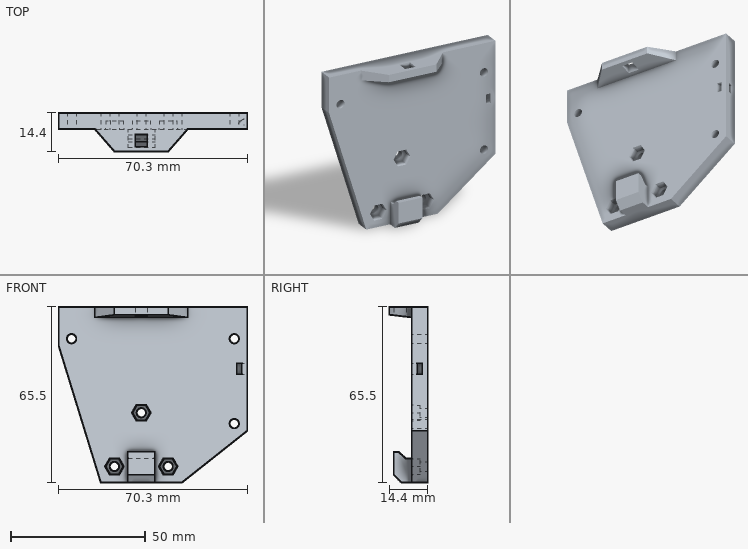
import cadquery as cq
import math


plate_width = 70.26
plate_height = 65.5
plate_thickness = 6.0
left_x = -30.8
right_x = left_x + plate_width
bottom_half_width = 15.1
left_corner_z = 51.0
right_corner_z = 19.3

hole_diameter = 3.4
corner_hole_inset = 4.85
upper_hole_z = 53.6
lower_hole_z = 22.0

nut_spacing = 20.0
lower_nut_z = 6.05
nut_sides = 6
nut_across_flats = 5.7
nut_mouth_across_flats = 6.1
nut_depth = 3.0
nut_lead_in_depth = 1.0

lug_reach = 8.4
lug_root_width = 34.7
lug_tip_width = 20.0
lug_root_height = 4.0
lug_tip_height = 3.0

window_width = 4.4
window_depth = 4.6
window_offset = 2.0

hook_width = 10.0
hook_reach = 6.7
hook_height = 11.45
hook_shelf_reach = 2.2
hook_lip_thickness = 1.9
hook_shelf_z = 9.1
hook_chamfer = 3.0

tie_inner_radius = 2.0
tie_outer_radius = 4.0
tie_height = 4.0
tie_center_z = 42.4


def make_plate():
    outline = [
        (-bottom_half_width, 0),
        (bottom_half_width, 0),
        (right_x, right_corner_z),
        (right_x, plate_height),
        (left_x, plate_height),
        (left_x, left_corner_z),
    ]
    return cq.Workplane("XZ").polyline(outline).close().extrude(-plate_thickness)


def make_lug():
    """Trapezoid in plan, trimmed by a sloping underside."""
    plan = [
        (-lug_root_width / 2, 0),
        (-lug_tip_width / 2, -lug_reach),
        (lug_tip_width / 2, -lug_reach),
        (lug_root_width / 2, 0),
    ]
    side = [
        (0, plate_height),
        (-lug_reach, plate_height),
        (-lug_reach, plate_height - lug_tip_height),
        (0, plate_height - lug_root_height),
    ]
    block = (
        cq.Workplane("XY", origin=(0, 0, plate_height))
        .polyline(plan).close()
        .extrude(-lug_root_height)
    )
    wedge = cq.Workplane("YZ").polyline(side).close().extrude(lug_root_width / 2, both=True)
    return block.intersect(wedge)


def make_lug_window():
    center_y = -window_offset - window_depth / 2
    return (
        cq.Workplane("XY", origin=(0, center_y, plate_height))
        .rect(window_width, window_depth)
        .extrude(-lug_root_height)
    )


def make_hook():
    """Shelf with an upturned lip and a chamfered lower front edge."""
    side = [
        (0, 0),
        (-hook_reach + hook_chamfer, 0),
        (-hook_reach, hook_chamfer),
        (-hook_reach, hook_height),
        (-hook_reach + hook_lip_thickness, hook_height),
        (-hook_shelf_reach, hook_shelf_z),
        (0, hook_shelf_z),
    ]
    return cq.Workplane("YZ").polyline(side).close().extrude(hook_width / 2, both=True)


def make_bolt_holes(centers):
    return (
        cq.Workplane("XZ")
        .pushPoints(centers)
        .circle(hole_diameter / 2)
        .extrude(-plate_thickness)
    )


def across_corners(across_flats):
    return across_flats / math.cos(math.pi / nut_sides)


def make_nut_pocket(x, z):
    """Hexagonal pocket with a lead-in that narrows from the mouth to the nut size."""
    mouth = cq.Workplane("XZ", origin=(x, 0, z))
    seat = mouth.polygon(nut_sides, across_corners(nut_across_flats)).extrude(-nut_depth)
    lead_in = (
        mouth.polygon(nut_sides, across_corners(nut_mouth_across_flats))
        .workplane(offset=-nut_lead_in_depth)
        .polygon(nut_sides, across_corners(nut_across_flats))
        .loft(ruled=True)
    )
    return seat.union(lead_in)


def make_tie_channel():
    """Ring centred on the vertical front edge, open on the front and right faces."""
    return (
        cq.Workplane("XY", origin=(right_x, 0, tie_center_z - tie_height / 2))
        .circle(tie_outer_radius)
        .circle(tie_inner_radius)
        .extrude(tie_height)
    )


corner_holes = [
    (left_x + corner_hole_inset, upper_hole_z),
    (right_x - corner_hole_inset, upper_hole_z),
    (right_x - corner_hole_inset, lower_hole_z),
]
nut_holes = [
    (-nut_spacing / 2, lower_nut_z),
    (nut_spacing / 2, lower_nut_z),
    (0, lower_nut_z + nut_spacing),
]

result = (
    make_plate()
    .union(make_lug())
    .union(make_hook())
    .cut(make_lug_window())
    .cut(make_bolt_holes(corner_holes + nut_holes))
    .cut(make_tie_channel())
)
for nut_x, nut_z in nut_holes:
    result = result.cut(make_nut_pocket(nut_x, nut_z))